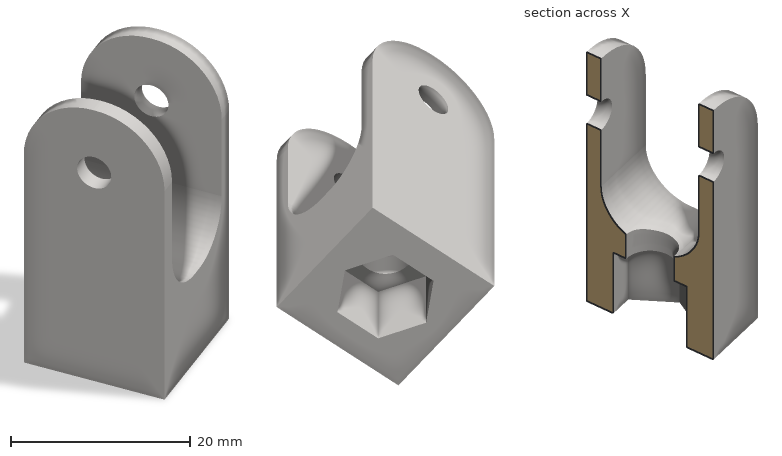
import cadquery as cq
import math

side = 17.3
height = 37.0
ear_corner_radius = 8.5

wall = 2.0
slot_floor = 12.0
slot_corner_radius = 6.0
slot_width = side - 2 * wall

pin_diameter = 4.2
pin_height = height - ear_corner_radius
base_hole_diameter = 6.5

hex_across_flats = 10.0
web_thickness = 3.0
hex_depth = slot_floor - web_thickness


def make_body():
    """Square block with the two upper edges along Y rounded."""
    block = cq.Workplane("XY").box(side, side, height, centered=(True, True, False))
    return block.faces(">Z").edges("|Y").fillet(ear_corner_radius)


def make_slot():
    """Slot volume, open at the top, with rounded corners at its floor."""
    slot = cq.Workplane("XY").workplane(offset=slot_floor)
    slot = slot.box(side, slot_width, height - slot_floor, centered=(True, True, False))
    return slot.faces("<Z").edges("|X").fillet(slot_corner_radius)


def make_pin_hole():
    """Cylinder along Y that crosses both ears."""
    profile = cq.Workplane("XZ").center(0, pin_height).circle(pin_diameter / 2)
    return profile.extrude(side / 2, both=True)


def make_base_hole():
    """Vertical cylinder through the base, continuing up into the slot."""
    return cq.Workplane("XY").circle(base_hole_diameter / 2).extrude(height)


def make_hex_pocket():
    """Hexagonal prism rising from the underside, with two corners on the X axis."""
    across_corners = hex_across_flats / math.cos(math.pi / 6)
    return cq.Workplane("XY").polygon(6, across_corners).extrude(hex_depth)


result = (
    make_body()
    .cut(make_slot())
    .cut(make_pin_hole())
    .cut(make_base_hole())
    .cut(make_hex_pocket())
)